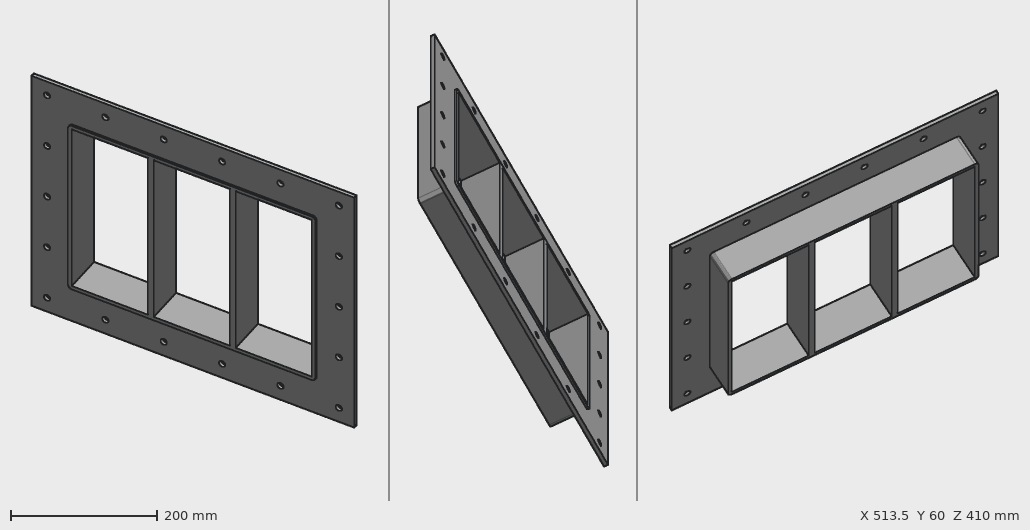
import cadquery as cq

plate_width = 513.5
plate_height = 410.0
plate_thickness = 6.0

sleeve_width = 394.0
sleeve_height = 291.0
sleeve_depth = 60.0
sleeve_wall = 6.0
sleeve_corner_radius = 6.0
front_projection = 3.0

opening_count = 3
divider_thickness = 10.0

hole_diameter = 10.0
hole_edge_distance = 24.5
hole_columns = 6
hole_rows = 5

opening_height = sleeve_height - 2 * sleeve_wall
inner_width = sleeve_width - 2 * sleeve_wall
opening_width = (inner_width - (opening_count - 1) * divider_thickness) / opening_count
opening_pitch = opening_width + divider_thickness
hole_pitch_x = (plate_width - 2 * hole_edge_distance) / (hole_columns - 1)
hole_pitch_z = (plate_height - 2 * hole_edge_distance) / (hole_rows - 1)


def block(width, depth, height, front_y):
    """Box centred in X and Z that runs from front_y towards +Y."""
    return cq.Workplane("XY").box(width, depth, height).translate((0, front_y + depth / 2, 0))


def rim_hole_points():
    """Centres of the holes in the outer ring of the rectangular grid."""
    points = []
    for column in range(hole_columns):
        for row in range(hole_rows):
            if column in (0, hole_columns - 1) or row in (0, hole_rows - 1):
                x = (column - (hole_columns - 1) / 2) * hole_pitch_x
                z = (row - (hole_rows - 1) / 2) * hole_pitch_z
                points.append((x, z))
    return points


plate = block(plate_width, plate_thickness, plate_height, 0)
plate = plate.faces("<Y").workplane(origin=(0, 0, 0)).pushPoints(rim_hole_points()).hole(hole_diameter)

sleeve = block(sleeve_width, sleeve_depth, sleeve_height, -front_projection)
sleeve = sleeve.edges("|Y").fillet(sleeve_corner_radius)

result = plate.union(sleeve)

for index in range(opening_count):
    opening_x = (index - (opening_count - 1) / 2) * opening_pitch
    opening = block(opening_width, sleeve_depth, opening_height, -front_projection)
    result = result.cut(opening.translate((opening_x, 0, 0)))